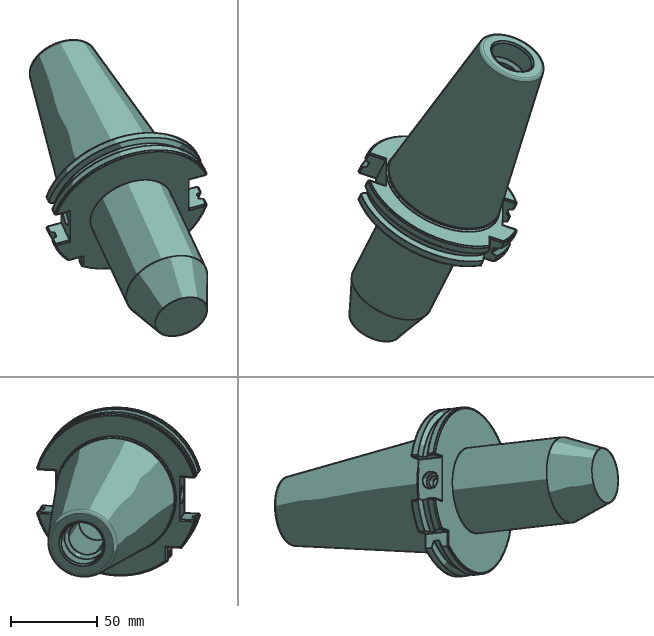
import cadquery as cq
import math

gauge_diameter = 69.85
taper_ratio = 7 / 24
shank_length = 101.6
shank_end_round = 2.0
shank_end_x = -shank_length
shank_end_radius = (gauge_diameter - taper_ratio * shank_length) / 2

land_end_x = 1.0
relief_depth = 0.4
relief_fillet = 1.0

flange_diameter = 97.5
flange_start_x = 3.2
flange_end_x = 18.9
flange_chamfer = 0.8
groove_center_x = 11.1
groove_floor_diameter = 91.25
groove_floor_width = 3.2
groove_wall_angle = 27.0

nose_diameter = 50.0
nose_end_x = 106.0
tip_length = 25.0
tip_diameter = 32.0

slot_width = 25.4
shallow_slot_floor = 37.5
deep_slot_floor = 35.5
slot_floors = (-shallow_slot_floor, deep_slot_floor)
edge_tolerance = 0.001
slot_corner_chamfer = 1.0

notch_offset = 30.0

port_diameter = 10.0
port_depth = 5.0
port_drill_diameter = 7.0
port_drill_depth = 10.0

bore_diameter = 25.0
bore_depth = 11.5
bore_mouth_diameter = 27.0
thread_diameter = 20.75
thread_depth = 45.0

drill_point_angle = 118.0


def cone_height(diameter):
    """Height of the cone a drill of this diameter leaves behind."""
    return diameter / 2 / math.tan(math.radians(drill_point_angle / 2))


def revolve_about_x(outline):
    """Turn an (X, radius) outline around the tool axis."""
    return outline.close().revolve(360, (0, 0, 0), (1, 0, 0))


def make_shank():
    land_radius = (gauge_diameter + taper_ratio * land_end_x) / 2
    relief_radius = gauge_diameter / 2 - relief_depth
    outline = (
        cq.Workplane("XZ")
        .moveTo(shank_end_x, 0)
        .lineTo(shank_end_x, shank_end_radius)
        .lineTo(land_end_x, land_radius)
        .lineTo(land_end_x + relief_depth, relief_radius)
        .lineTo(flange_start_x - relief_fillet, relief_radius)
        .radiusArc((flange_start_x, relief_radius + relief_fillet), relief_fillet)
        .lineTo(flange_start_x, 0)
    )
    return revolve_about_x(outline).faces("<X").edges().fillet(shank_end_round)


def is_off_slot_floor(edge):
    """True unless the edge lies along the floor of a drive slot."""
    middle_y = edge.Center().y
    return all(abs(middle_y - floor_y) > edge_tolerance for floor_y in slot_floors)


def make_slotted_disc():
    """Flange disc with slots and notch, bevelled all round except along the slot floors."""
    width = flange_end_x - flange_start_x
    radius = flange_diameter / 2
    half_slot = slot_width / 2
    corner_y = math.sqrt(radius**2 - half_slot**2)
    disc = cq.Workplane("YZ", origin=(flange_start_x, 0, 0)).circle(radius).extrude(width)
    for floor_y in slot_floors:
        slot = cq.Workplane("XY").box(width, radius, slot_width, centered=(False, True, True))
        disc = disc.cut(slot.translate((flange_start_x, floor_y + math.copysign(radius / 2, floor_y), 0)))
    for side_y in (-1, 1):
        for side_z in (-1, 1):
            corner = (flange_start_x + width / 2, side_y * corner_y, side_z * half_slot)
            disc = disc.edges(cq.NearestToPointSelector(corner)).chamfer(slot_corner_chamfer)
    notch = cq.Workplane("XY").box(width, radius, radius, centered=False)
    notch_corner = -notch_offset - radius
    disc = disc.cut(notch.translate((flange_start_x, notch_corner, notch_corner)))
    for end_face in ("<X", ">X"):
        disc = disc.faces(end_face).edges().filter(is_off_slot_floor).chamfer(flange_chamfer)
    return disc


def make_groove():
    radius = flange_diameter / 2
    floor_radius = groove_floor_diameter / 2
    half_floor = groove_floor_width / 2
    half_mouth = half_floor + (radius - floor_radius) * math.tan(math.radians(groove_wall_angle))
    outline = (
        cq.Workplane("XZ")
        .moveTo(groove_center_x - half_floor, floor_radius)
        .lineTo(groove_center_x + half_floor, floor_radius)
        .lineTo(groove_center_x + half_mouth, radius)
        .lineTo(groove_center_x - half_mouth, radius)
    )
    return revolve_about_x(outline)


def make_nose():
    outline = (
        cq.Workplane("XZ")
        .moveTo(flange_end_x, 0)
        .lineTo(flange_end_x, nose_diameter / 2)
        .lineTo(nose_end_x - tip_length, nose_diameter / 2)
        .lineTo(nose_end_x, tip_diameter / 2)
        .lineTo(nose_end_x, 0)
    )
    return revolve_about_x(outline)


def make_port():
    """Counterbored, drill-pointed hole running in +Y from the -Y slot floor."""
    drill_radius = port_drill_diameter / 2
    return (
        cq.Workplane("XY", origin=(groove_center_x, -shallow_slot_floor, 0))
        .lineTo(port_diameter / 2, 0)
        .lineTo(port_diameter / 2, port_depth)
        .lineTo(drill_radius, port_depth)
        .lineTo(drill_radius, port_drill_depth)
        .lineTo(0, port_drill_depth + cone_height(port_drill_diameter))
        .close()
        .revolve(360, (0, 0, 0), (0, 1, 0))
    )


def make_bore():
    bore_radius = bore_diameter / 2
    mouth_radius = bore_mouth_diameter / 2
    thread_radius = thread_diameter / 2
    outline = (
        cq.Workplane("XZ", origin=(shank_end_x, 0, 0))
        .lineTo(0, mouth_radius)
        .lineTo(mouth_radius - bore_radius, bore_radius)
        .lineTo(bore_depth, bore_radius)
        .lineTo(bore_depth + bore_radius - thread_radius, thread_radius)
        .lineTo(thread_depth, thread_radius)
        .lineTo(thread_depth + cone_height(thread_diameter), 0)
    )
    return revolve_about_x(outline)


flange = make_slotted_disc().cut(make_groove())
result = make_shank().union(flange).union(make_nose()).cut(make_port()).cut(make_bore())